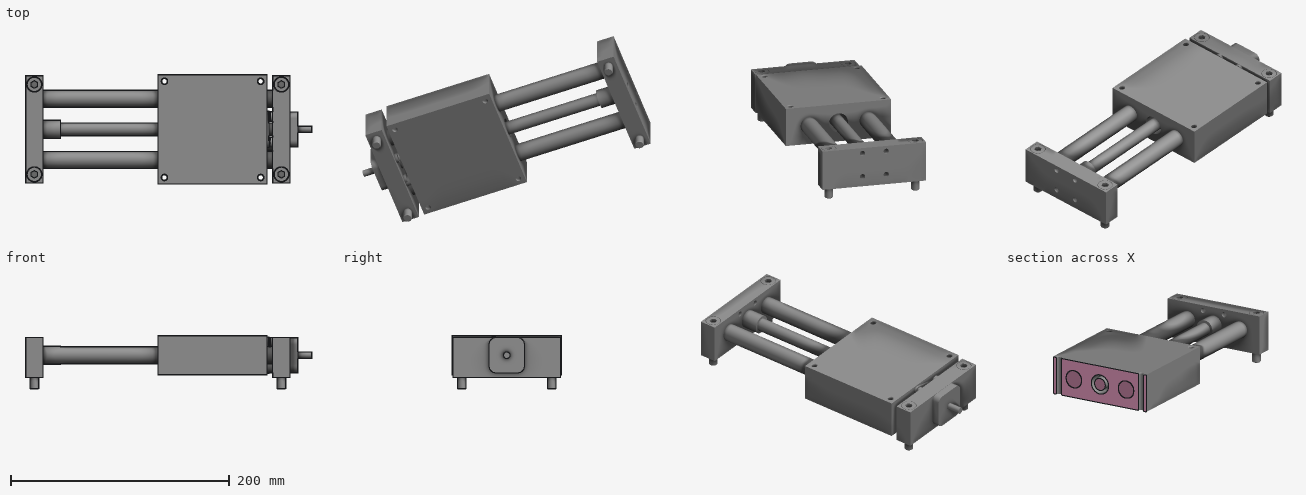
import cadquery as cq
import math

TOTAL_LENGTH = 262.0

CARRIAGE_SIDE = 100.0
CARRIAGE_HEIGHT = 36.0
CARRIAGE_START_X = 121.0
MOUNTING_HOLE_DIAMETER = 5.0
MOUNTING_HOLE_MOUTH = 6.0
MOUNTING_HOLE_INSET = 6.0
SPINDLE_CLEARANCE_DIAMETER = 18.0

NUT_DIAMETER = 27.8
NUT_THICKNESS = 1.5
NUT_EAR_RADIUS = 4.7
NUT_EAR_DISTANCE = 17.0
NUT_EAR_ANGLE = -45

PLATE_THICKNESS = 16.0
PLATE_WIDTH = 98.5
PLATE_HEIGHT = 37.0
PLATE_DROP = 1.5
GAP_TO_RIGHT_PLATE = 5.0

ROD_DIAMETER = 16.0
ROD_OFFSET_Y = 28.0
SPINDLE_DIAMETER = 12.0
COLLAR_DIAMETER = 17.0
COLLAR_LENGTH = 16.0
SHAFT_DIAMETER = 6.0

BOLT_HOLE_PITCH = 22.5
BOLT_HOLE_DIAMETER = 5.0
BOLT_HEAD_PITCH = 23.5
BOLT_HEAD_DIAMETER = 9.0
BOLT_HEAD_HEIGHT = 2.4

FLANGE_SIDE = 32.2
FLANGE_THICKNESS = 7.0
FLANGE_CORNER_RADIUS = 6.0

STOP_DIAMETER = 9.5
STOP_Y = -14.7
STOP_Z = -11.5

SCREW_OFFSET_Y = 41.1
SCREW_DIAMETER = 8.0
SCREW_PROTRUSION = 10.5
SCREW_TIP_CHAMFER = 0.8
SCREW_HEAD_DIAMETER = 13.0
SCREW_HEAD_HEIGHT = 7.9
COUNTERBORE_DIAMETER = 14.0
SOCKET_ACROSS_FLATS = 6.0
SOCKET_DEPTH = 4.0

CARRIAGE_END_X = CARRIAGE_START_X + CARRIAGE_SIDE
CARRIAGE_TOP_Z = CARRIAGE_HEIGHT / 2
RIGHT_PLATE_X = CARRIAGE_END_X + GAP_TO_RIGHT_PLATE
FLANGE_X = RIGHT_PLATE_X + PLATE_THICKNESS
SHAFT_X = FLANGE_X + FLANGE_THICKNESS
PLATE_TOP_Z = CARRIAGE_TOP_Z - PLATE_DROP
PLATE_BOTTOM_Z = PLATE_TOP_Z - PLATE_HEIGHT


def block(start_x, length, width, bottom_z, height):
    """Box centred on Y = 0."""
    solid = cq.Workplane("XY").box(length, width, height, centered=(False, True, False))
    return solid.translate((start_x, 0, bottom_z))


def rod(diameter, start_x, end_x, y=0.0, z=0.0):
    """Cylinder along X."""
    profile = cq.Workplane("YZ").circle(diameter / 2)
    return profile.extrude(end_x - start_x).translate((start_x, y, z))


def post(diameter, bottom_z, top_z, x, y):
    """Cylinder along Z."""
    profile = cq.Workplane("XY").circle(diameter / 2)
    return profile.extrude(top_z - bottom_z).translate((x, y, bottom_z))


def square_pattern(pitch):
    """Corners (y, z) of a square around the spindle axis."""
    half = pitch / 2
    return [(y, z) for y in (-half, half) for z in (-half, half)]


def make_nut():
    """Disc with two ears, each joined to the disc by straight tangents."""
    radius = NUT_DIAMETER / 2
    tangent_angle = math.acos((radius - NUT_EAR_RADIUS) / NUT_EAR_DISTANCE)
    disc_y = radius * math.cos(tangent_angle)
    disc_z = radius * math.sin(tangent_angle)
    ear_y = NUT_EAR_DISTANCE + NUT_EAR_RADIUS * math.cos(tangent_angle)
    ear_z = NUT_EAR_RADIUS * math.sin(tangent_angle)
    tip_y = NUT_EAR_DISTANCE + NUT_EAR_RADIUS
    nut = (
        cq.Workplane("YZ")
        .moveTo(disc_y, disc_z)
        .lineTo(ear_y, ear_z)
        .threePointArc((tip_y, 0), (ear_y, -ear_z))
        .lineTo(disc_y, -disc_z)
        .threePointArc((0, -radius), (-disc_y, -disc_z))
        .lineTo(-ear_y, -ear_z)
        .threePointArc((-tip_y, 0), (-ear_y, ear_z))
        .lineTo(-disc_y, disc_z)
        .threePointArc((0, radius), (disc_y, disc_z))
        .close()
        .extrude(NUT_THICKNESS)
    )
    return nut.rotate((0, 0, 0), (1, 0, 0), NUT_EAR_ANGLE).translate((CARRIAGE_END_X, 0, 0))


def make_carriage():
    carriage = block(CARRIAGE_START_X, CARRIAGE_SIDE, CARRIAGE_SIDE, -CARRIAGE_TOP_Z, CARRIAGE_HEIGHT)
    hole_pitch = CARRIAGE_SIDE - 2 * MOUNTING_HOLE_INSET
    carriage = (
        carriage.faces(">Z").workplane(centerOption="CenterOfBoundBox")
        .rect(hole_pitch, hole_pitch, forConstruction=True)
        .vertices()
        .cskHole(MOUNTING_HOLE_DIAMETER, MOUNTING_HOLE_MOUTH, 90)
    )
    carriage = carriage.union(make_nut())
    carriage = carriage.cut(rod(SPINDLE_CLEARANCE_DIAMETER, CARRIAGE_START_X, RIGHT_PLATE_X))
    for y in (-ROD_OFFSET_Y, ROD_OFFSET_Y):
        carriage = carriage.cut(rod(ROD_DIAMETER, CARRIAGE_START_X, CARRIAGE_END_X, y))
    return carriage


def add_clamp_screw(plate, x, y):
    """Sink a socket screw into the plate, its head flush with the top of the plate."""
    seat_z = PLATE_TOP_Z - SCREW_HEAD_HEIGHT
    tip_z = PLATE_BOTTOM_Z - SCREW_PROTRUSION
    counterbore = post(COUNTERBORE_DIAMETER, seat_z, PLATE_TOP_Z, x, y)
    head = post(SCREW_HEAD_DIAMETER, seat_z, PLATE_TOP_Z, x, y)
    shank = post(SCREW_DIAMETER, tip_z, seat_z, x, y).faces("<Z").chamfer(SCREW_TIP_CHAMFER)
    socket = (
        cq.Workplane("XY")
        .polygon(6, SOCKET_ACROSS_FLATS, circumscribed=True)
        .extrude(SOCKET_DEPTH)
        .translate((x, y, PLATE_TOP_Z - SOCKET_DEPTH))
    )
    return plate.cut(counterbore).union(head).union(shank).cut(socket)


def make_end_plate(start_x):
    plate = block(start_x, PLATE_THICKNESS, PLATE_WIDTH, PLATE_BOTTOM_Z, PLATE_HEIGHT)
    for y in (-SCREW_OFFSET_Y, SCREW_OFFSET_Y):
        plate = add_clamp_screw(plate, start_x + PLATE_THICKNESS / 2, y)
    return plate


def make_left_end():
    """Left end plate with its through bolt holes and the spindle collar."""
    plate = make_end_plate(0)
    for y, z in square_pattern(BOLT_HOLE_PITCH):
        plate = plate.cut(rod(BOLT_HOLE_DIAMETER, 0, PLATE_THICKNESS, y, z))
    return plate.union(rod(COLLAR_DIAMETER, PLATE_THICKNESS, PLATE_THICKNESS + COLLAR_LENGTH))


def make_right_end():
    """Right end plate with its bolt heads, stop pin, motor flange and shaft."""
    plate = make_end_plate(RIGHT_PLATE_X)
    head_x = RIGHT_PLATE_X - BOLT_HEAD_HEIGHT
    for y, z in square_pattern(BOLT_HEAD_PITCH):
        plate = plate.union(rod(BOLT_HEAD_DIAMETER, head_x, RIGHT_PLATE_X, y, z))
    plate = plate.union(rod(STOP_DIAMETER, CARRIAGE_END_X, RIGHT_PLATE_X, STOP_Y, STOP_Z))
    flange = block(FLANGE_X, FLANGE_THICKNESS, FLANGE_SIDE, -FLANGE_SIDE / 2, FLANGE_SIDE)
    plate = plate.union(flange.edges("|X").fillet(FLANGE_CORNER_RADIUS))
    return plate.union(rod(SHAFT_DIAMETER, SHAFT_X, TOTAL_LENGTH))


def make_frame():
    """Both ends joined by the guide rods and the spindle."""
    frame = make_left_end().union(make_right_end())
    frame = frame.union(rod(SPINDLE_DIAMETER, PLATE_THICKNESS, RIGHT_PLATE_X))
    for y in (-ROD_OFFSET_Y, ROD_OFFSET_Y):
        frame = frame.union(rod(ROD_DIAMETER, PLATE_THICKNESS, RIGHT_PLATE_X, y))
    return frame


carriage = make_carriage()
frame = make_frame()

result = cq.Compound.makeCompound([carriage.solids().val(), frame.solids().val()])